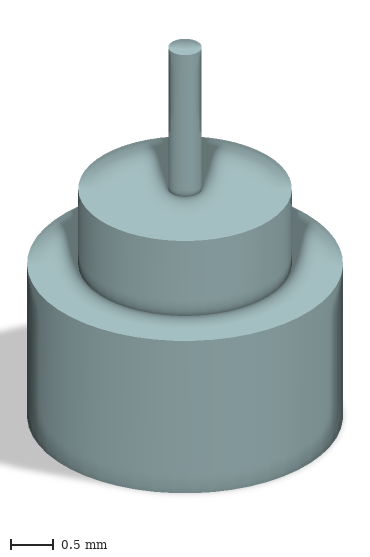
import cadquery as cq

total_height = 4.95
body_height = 2.045
collar_height = 1.005
pin_height = total_height - body_height - collar_height

body_diameter = 3.7
collar_diameter = 2.5
pin_diameter = 0.39


def add_step(base, diameter, height):
    """Stack a coaxial cylinder on the top face of the base."""
    return base.faces(">Z").workplane().circle(diameter / 2).extrude(height)


body = cq.Workplane("XY").circle(body_diameter / 2).extrude(body_height)

with_collar = add_step(body, collar_diameter, collar_height)
result = add_step(with_collar, pin_diameter, pin_height)